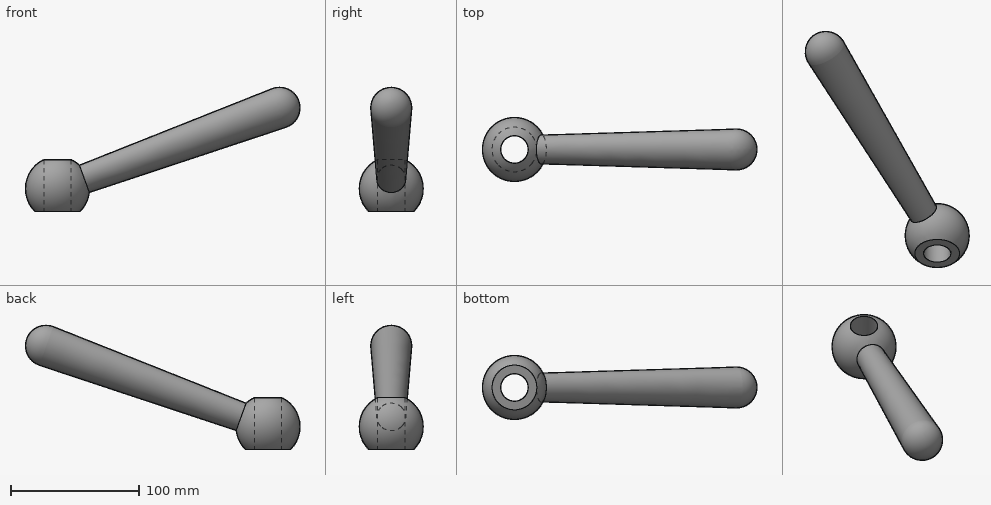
import cadquery as cq
import math

ball_radius = 25.0
base_depth = 18.0
bore_diameter = 21.2

handle_tilt = 20.0
tip_radius = 16.0
overall_length = 214.0
neck_radius = 11.3

tip_distance = (overall_length - ball_radius - tip_radius) / math.cos(math.radians(handle_tilt))
neck_distance = math.sqrt(ball_radius**2 - neck_radius**2)

neck_to_tip = tip_distance - neck_distance
taper_angle = math.asin(tip_radius / math.hypot(neck_to_tip, neck_radius)) - math.atan2(
    neck_radius, neck_to_tip
)
tangent_distance = tip_distance - tip_radius * math.sin(taper_angle)
tangent_radius = tip_radius * math.cos(taper_angle)
taper_slope = math.tan(taper_angle)
root_radius = neck_radius - neck_distance * taper_slope


def make_handle():
    """Revolve the taper and its round tip about X, then tilt them upward."""
    tip_end = tip_distance + tip_radius
    mid_angle = math.radians(45)
    tip_middle = (
        tip_distance + tip_radius * math.cos(mid_angle),
        tip_radius * math.sin(mid_angle),
    )
    profile = (
        cq.Workplane("XZ")
        .lineTo(0, root_radius)
        .lineTo(tangent_distance, tangent_radius)
        .threePointArc(tip_middle, (tip_end, 0))
        .close()
    )
    handle = profile.revolve(360, (0, 0, 0), (1, 0, 0))
    return handle.rotate((0, 0, 0), (0, 1, 0), -handle_tilt)


def make_ball():
    """Ball with its underside cut flat."""
    below_base = cq.Workplane("XY").workplane(offset=-base_depth).rect(
        2 * ball_radius, 2 * ball_radius
    ).extrude(-ball_radius)
    return cq.Workplane("XY").sphere(ball_radius).cut(below_base)


def make_bore():
    """Vertical hole right through the ball."""
    return cq.Workplane("XY").circle(bore_diameter / 2).extrude(ball_radius, both=True)


result = make_ball().union(make_handle()).cut(make_bore())